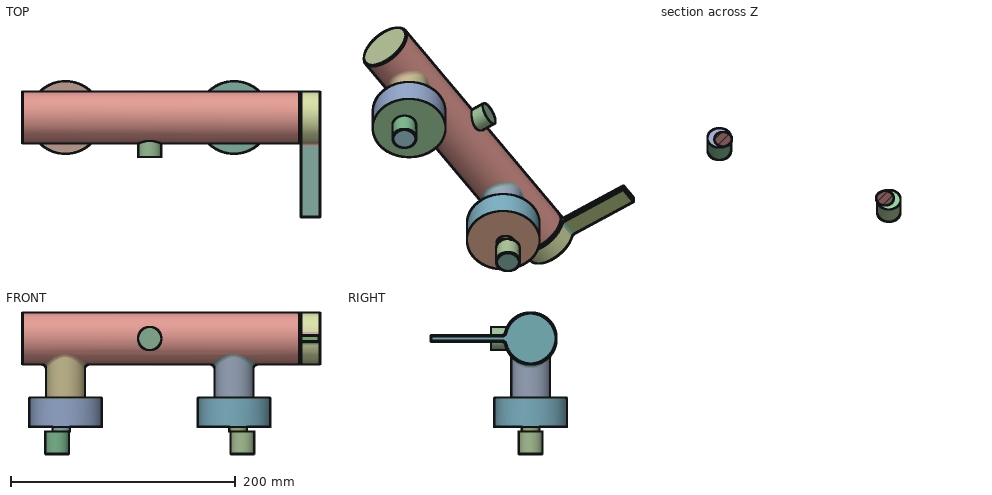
import cadquery as cq


TOTAL_LENGTH = 265.8
TOTAL_HEIGHT = 126.2
BODY_DIAMETER = 46.5
BODY_LENGTH = 246.4
GROOVE_WIDTH = 1.5
GROOVE_DEPTH = 0.8
BODY_END_CHAMFER = 1.0
CAP_END_CHAMFER = 1.0
BODY_RADIUS = BODY_DIAMETER / 2
CAP_START = BODY_LENGTH + GROOVE_WIDTH
CAP_LENGTH = TOTAL_LENGTH - CAP_START

LEVER_TIP_Y = -89.0
LEVER_THICKNESS = 5.8
LEVER_EDGE_CHAMFER = 0.8
LEVER_ROOT_FILLET = 3.2

LEG_SPACING = 150.0
FIRST_LEG_X = 38.8
LEG_DIAMETER = 34.8
LEG_FILLET = 3.5

FLANGE_DIAMETER = 64.8
FLANGE_TOP_Z = -52.4
FLANGE_BOTTOM_Z = -78.7
FLANGE_EDGE_FILLET = 1.5
NECK_DIAMETER = 16.0
STUD_DIAMETER = 21.3
STUD_TOP_Z = -82.6
BOTTOM_Z = BODY_RADIUS - TOTAL_HEIGHT
STUD_CHAMFER = 0.8
STUD_OFFSET = 7.5
NECK_OFFSET = STUD_OFFSET / 2

OUTLET_DIAMETER = 20.7
OUTLET_END_Y = -35.3
OUTLET_X = FIRST_LEG_X + LEG_SPACING / 2


def rod_x(radius, start, length):
    """Round bar on the body axis."""
    return cq.Workplane("YZ").workplane(offset=start).circle(radius).extrude(length)


def rod_z(diameter, x, top, bottom):
    """Vertical round bar centred at the given X."""
    return cq.Workplane("XY", origin=(x, 0, bottom)).circle(diameter / 2).extrude(top - bottom)


def make_body():
    """Horizontal barrel with two legs blended into its underside."""
    barrel = rod_x(BODY_RADIUS, 0, BODY_LENGTH).faces("<X").chamfer(BODY_END_CHAMFER)
    for x in (FIRST_LEG_X, FIRST_LEG_X + LEG_SPACING):
        barrel = barrel.union(rod_z(LEG_DIAMETER, x, 0, FLANGE_TOP_Z))
    leg_joint = cq.selectors.BoxSelector(
        (BODY_END_CHAMFER, -LEG_DIAMETER, -BODY_RADIUS - LEG_FILLET),
        (BODY_LENGTH - GROOVE_WIDTH, LEG_DIAMETER, -LEG_FILLET),
        boundingbox=True,
    )
    return barrel.edges(leg_joint).fillet(LEG_FILLET)


def make_outlet():
    """Round spigot pointing to -Y."""
    return (
        cq.Workplane("XZ", origin=(OUTLET_X, 0, 0))
        .circle(OUTLET_DIAMETER / 2)
        .extrude(-OUTLET_END_Y)
    )


def make_wall_connector(leg_x, outward):
    """Flange under a leg, with the neck and stud stepping outward along X."""
    flange = rod_z(FLANGE_DIAMETER, leg_x, FLANGE_TOP_Z, FLANGE_BOTTOM_Z)
    flange = flange.faces(">Z").edges().fillet(FLANGE_EDGE_FILLET)
    neck = rod_z(NECK_DIAMETER, leg_x + outward * NECK_OFFSET, FLANGE_BOTTOM_Z, STUD_TOP_Z)
    stud = rod_z(STUD_DIAMETER, leg_x + outward * STUD_OFFSET, STUD_TOP_Z, BOTTOM_Z)
    stud = stud.faces("<Z").chamfer(STUD_CHAMFER)
    return flange.union(neck).union(stud)


def make_cap_and_lever():
    """Turning cap with a flat lever whose root is blended into the cap."""
    cap = rod_x(BODY_RADIUS, CAP_START, CAP_LENGTH)
    lever = (
        cq.Workplane("XY")
        .box(CAP_LENGTH, -LEVER_TIP_Y, LEVER_THICKNESS, centered=(False, False, True))
        .translate((CAP_START, LEVER_TIP_Y, 0))
    )
    handle = cap.union(lever)
    root_depth = BODY_RADIUS + LEVER_ROOT_FILLET
    root_edges = cq.selectors.BoxSelector(
        (CAP_START, -root_depth, -LEVER_THICKNESS),
        (TOTAL_LENGTH, -BODY_RADIUS + LEVER_ROOT_FILLET, LEVER_THICKNESS),
    )
    handle = handle.edges("|X").edges(root_edges).fillet(LEVER_ROOT_FILLET)
    handle = handle.faces(">X").chamfer(CAP_END_CHAMFER)
    handle = handle.faces("<Y").chamfer(LEVER_EDGE_CHAMFER)
    blade_side_edges = cq.selectors.BoxSelector(
        (CAP_START - LEVER_EDGE_CHAMFER, LEVER_TIP_Y, -LEVER_THICKNESS),
        (CAP_START + LEVER_EDGE_CHAMFER, -root_depth, LEVER_THICKNESS),
    )
    return handle.edges(blade_side_edges).edges("|Y").chamfer(LEVER_EDGE_CHAMFER)


groove_core = rod_x(BODY_RADIUS - GROOVE_DEPTH, BODY_LENGTH, GROOVE_WIDTH)
result = make_body().union(make_outlet()).union(groove_core).union(make_cap_and_lever())
for leg_x, outward in ((FIRST_LEG_X, -1), (FIRST_LEG_X + LEG_SPACING, 1)):
    result = result.union(make_wall_connector(leg_x, outward))